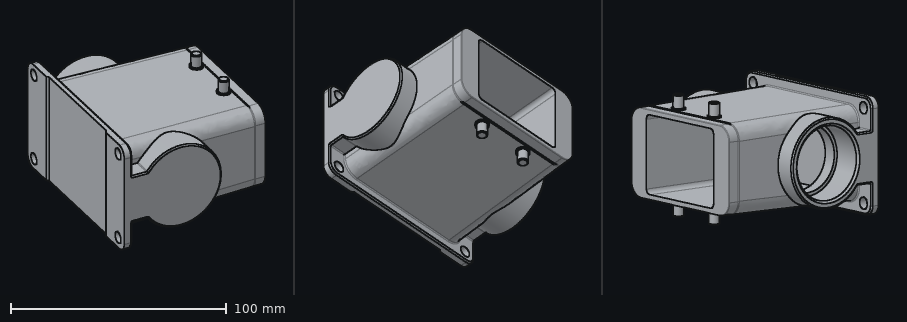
import cadquery as cq
plate_x = 94.0
plate_z = 55.8
plate_thickness = 4.2
plate_corner_radius = 5.0
edge_round = 0.75
mount_hole_diameter = 5.6
mount_spacing_x = 82.0
mount_spacing_z = 44.9
relief_depth = 0.9
relief_floor_x = 55.8
relief_mouth_x = 58.1

body_root_y = 1.9
body_base_x = 74.8
body_base_z = 45.6
body_end_x = 72.8
body_end_z = 43.2
body_corner_radius = 7.5
body_end_y = 74.4
foot_fillet = 0.6

rim_x = 72.6
rim_z = 42.7
rim_corner_radius = 7.05
rim_start_y = 75.0
rim_end_y = 80.4
rim_edge_round = 0.3

entry_radius = 21.5
entry_y = 30.0
web_z = 24.6
web_corner_fillet = 0.6
bore_radius = 17.7
bore_chamfer = 1.1
bore_step_depth = 15.4
inner_bore_radius = 16.0

cavity_x = 49.8
cavity_z = 37.6
cavity_floor_y = 7.5
cavity_corner_radius = 2.35

pin_span_z = 57.5
pin_radius = 2.5
pin_chamfer = 0.5
pin_spacing_x = 26.5
pin_y = 70.7
collar_radius = 3.3
collar_span_z = 44.65
pin_root_z = cavity_z / 2 + 0.9

tolerance = 0.1


def along_y(y):
    """Workplane at height y whose normal is +Y."""
    return cq.Workplane(cq.Plane(origin=(0, y, 0), xDir=(-1, 0, 0), normal=(0, 1, 0)))


def along_x(x):
    """Workplane at position x, centred on the cable entry axis, with normal +X."""
    return cq.Workplane("YZ", origin=(x, entry_y, 0))


def rounded_rectangle(size_x, size_z, radius):
    return cq.Sketch().rect(size_x, size_z).vertices().fillet(radius)


def rounded_block(y_start, y_end, size_x, size_z, radius):
    outline = rounded_rectangle(size_x, size_z, radius)
    return along_y(y_start).placeSketch(outline).extrude(y_end - y_start)


def rounded_loft(y_start, start, y_end, end):
    """Straight loft between two rounded rectangles, each given as (size x, size z, radius)."""
    lift = cq.Location(cq.Vector(0, 0, y_end - y_start))
    start_outline = rounded_rectangle(*start)
    end_outline = rounded_rectangle(*end).moved(lift)
    return along_y(y_start).placeSketch(start_outline, end_outline).loft(ruled=True)


def bevel_base_edges(base):
    """Chamfer the plate's upper outline and the end-face outlines above the plate."""
    outer_edges = []
    for edge in base.edges().vals():
        middle = edge.Center()
        above_plate = middle.y > plate_thickness - tolerance
        on_end = abs(middle.x) > plate_x / 2 - tolerance
        on_plate_outline = abs(middle.z) > plate_z / 2 - plate_corner_radius
        if above_plate and (on_end or on_plate_outline):
            outer_edges.append(edge)
    return base.newObject(outer_edges).chamfer(edge_round)


def make_base():
    """Plate with both cable entries and their webs, flush at the two X ends."""
    base = rounded_block(0, plate_thickness, plate_x, plate_z, plate_corner_radius)
    entries = along_x(-plate_x / 2).circle(entry_radius).extrude(plate_x)
    web = cq.Workplane("XY").box(plate_x, entry_y, web_z, centered=(True, False, True))
    base = base.union(entries).union(web)
    web_zone = cq.selectors.BoxSelector(
        (-plate_x, plate_thickness - tolerance, -web_z),
        (plate_x, entry_y, web_z),
    )
    base = base.edges("|X").edges(web_zone).fillet(web_corner_fillet)
    return bevel_base_edges(base)


def fillet_foot(body):
    """Fillet the loop where the drafted body meets the plate's upper face."""
    foot_edges = []
    for edge in body.edges().vals():
        middle = edge.Center()
        at_plate_top = abs(middle.y - plate_thickness) < tolerance
        on_body = abs(middle.x) <= body_base_x / 2 and abs(middle.z) <= body_base_z / 2
        if at_plate_top and on_body:
            foot_edges.append(edge)
    return body.newObject(foot_edges).fillet(foot_fillet)


def make_shell():
    """Drafted body with a filleted foot, topped by a short shoulder and the rim."""
    body_start = (body_base_x, body_base_z, body_corner_radius)
    body_end = (body_end_x, body_end_z, body_corner_radius)
    rim_size = (rim_x, rim_z, rim_corner_radius)
    pad_size = (plate_x - 4 * edge_round, plate_z - 4 * edge_round, plate_corner_radius)
    pad = rounded_block(body_root_y, plate_thickness, *pad_size)
    body = rounded_loft(body_root_y, body_start, body_end_y, body_end)
    body = fillet_foot(body.union(pad))
    shoulder = rounded_loft(body_end_y, body_end, rim_start_y, rim_size)
    rim = rounded_block(rim_start_y, rim_end_y, *rim_size)
    rim = rim.faces(">Y").edges().fillet(rim_edge_round)
    return body.union(shoulder).union(rim)


def make_cavity():
    return rounded_block(cavity_floor_y, rim_end_y, cavity_x, cavity_z, cavity_corner_radius)


def make_entry_bore():
    """Stepped bore with a chamfered mouth, from the -X end into the cavity."""
    mouth_x = -plate_x / 2
    bore = along_x(mouth_x).circle(bore_radius).extrude(bore_step_depth)
    inner_bore = along_x(mouth_x).circle(inner_bore_radius).extrude(plate_x / 2)
    mouth = cq.Solid.makeCone(
        bore_radius + bore_chamfer,
        bore_radius,
        bore_chamfer,
        cq.Vector(mouth_x, entry_y, 0),
        cq.Vector(1, 0, 0),
    )
    return bore.union(inner_bore).union(cq.Workplane(mouth))


def make_relief():
    """Shallow slope-sided channel across the mounting face."""
    return (
        cq.Workplane("XY", origin=(0, 0, -plate_z / 2))
        .moveTo(-relief_mouth_x / 2, 0)
        .lineTo(-relief_floor_x / 2, relief_depth)
        .lineTo(relief_floor_x / 2, relief_depth)
        .lineTo(relief_mouth_x / 2, 0)
        .close()
        .extrude(plate_z)
    )


def make_mount_holes():
    return (
        along_y(0)
        .rect(mount_spacing_x, mount_spacing_z, forConstruction=True)
        .vertices()
        .circle(mount_hole_diameter / 2)
        .extrude(plate_thickness)
    )


def make_pin(x):
    """Chamfered locking pin with its collar, pointing along +Z."""
    root = cq.Workplane("XY", origin=(x, pin_y, pin_root_z))
    pin = root.circle(pin_radius).extrude(pin_span_z / 2 - pin_root_z)
    pin = pin.faces(">Z").chamfer(pin_chamfer)
    collar = root.circle(collar_radius).extrude(collar_span_z / 2 - pin_root_z)
    return pin.union(collar)


result = make_base().union(make_shell())
for cutter in (make_cavity(), make_entry_bore(), make_relief(), make_mount_holes()):
    result = result.cut(cutter)
for pin_x in (-pin_spacing_x / 2, pin_spacing_x / 2):
    locking_pin = make_pin(pin_x)
    result = result.union(locking_pin).union(locking_pin.mirror("XY"))